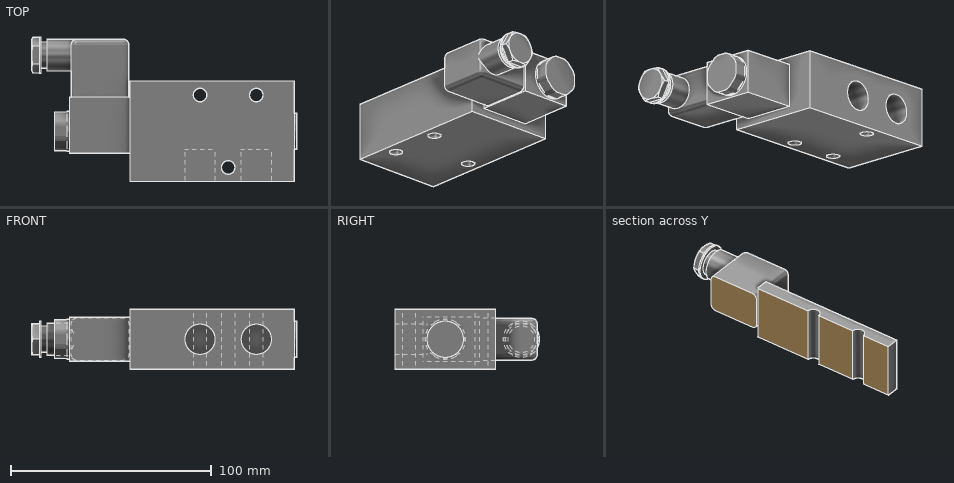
import cadquery as cq
import math


block_length = 81.8
block_width = 50.0
block_height = 30.0
block_mid_y = block_width / 2

station_x = 35.0
station_pitch = 28.0
mount_diameter = 6.6
mount_inset = 7.0
port_diameter = 15.0
port_depth = 15.8

plug_diameter = 18.1
plug_length = 1.3

coil_length = 30.1
coil_width = 28.0
coil_height = 22.0
coil_start_y = 14.0
coil_end_y = coil_start_y + coil_width

cap_diameter = 20.0
cap_length = 7.4
cap_flat_count = 8
cap_across_flats = 19.4
cap_flat_length = 6.2

overall_length = 132.0
overall_width = 72.0
washer_diameter = 18.1
washer_length = 0.9
gland_y = overall_width - washer_diameter / 2
gland_diameter = 16.0
neck_diameter = 13.2
neck_length = 2.9
nut_across_flats = 15.6
nut_length = 3.8
nut_chamfer_length = 0.7
gland_end_x = block_length + plug_length - overall_length

housing_length = 28.8
housing_height = 21.0
housing_gap = 0.4
housing_round = 3.0
housing_end_y = gland_y + gland_diameter / 2


def disc(start_x, length, axis_y, diameter):
    """Cylinder along +X, starting at start_x, with its axis at mid-height."""
    return cq.Workplane("YZ", origin=(start_x, axis_y, 0)).circle(diameter / 2).extrude(length)


def make_block():
    block = cq.Workplane("XY").box(block_length, block_width, block_height, centered=(False, False, True))
    stations = [station_x, station_x + station_pitch]

    mount_points = [(x, block_width - mount_inset) for x in stations]
    mount_points.append((station_x + station_pitch / 2, mount_inset))
    mounts = (
        cq.Workplane("XY", origin=(0, 0, -block_height / 2))
        .pushPoints(mount_points)
        .circle(mount_diameter / 2)
        .extrude(block_height)
    )

    ports = (
        cq.Workplane("XZ")
        .pushPoints([(x, 0) for x in stations])
        .circle(port_diameter / 2)
        .extrude(-port_depth)
    )
    return block.cut(mounts).cut(ports)


def make_coil():
    return cq.Workplane("XY", origin=(-coil_length, coil_start_y, 0)).box(
        coil_length, coil_width, coil_height, centered=(False, False, True)
    )


def make_cap():
    cap_end_x = -coil_length - cap_length
    cap = disc(cap_end_x, cap_length, block_mid_y, cap_diameter)
    corner_diameter = cap_across_flats / math.cos(math.pi / cap_flat_count)
    half_step = 180 / cap_flat_count
    octagon = (
        cq.Workplane("YZ", origin=(cap_end_x, block_mid_y, 0))
        .transformed(rotate=(0, 0, half_step))
        .polygon(cap_flat_count, corner_diameter)
        .extrude(cap_flat_length)
    )
    rim = disc(cap_end_x, cap_flat_length, block_mid_y, cap_diameter)
    return cap.cut(rim.cut(octagon))


def make_housing():
    """Connector housing, rounded everywhere except where it sits on the coil box."""
    return (
        cq.Workplane("XY", origin=(-housing_gap - housing_length, coil_end_y, 0))
        .box(housing_length, housing_end_y - coil_end_y, housing_height, centered=(False, False, True))
        .edges("|Y or >Y")
        .fillet(housing_round)
    )


def make_nut():
    """Hexagonal nut with corners towards +Y and -Y, chamfered at its outer end."""
    corner_diameter = nut_across_flats / math.cos(math.pi / 6)
    hexagon = (
        cq.Workplane("YZ", origin=(gland_end_x, gland_y, 0))
        .polygon(6, corner_diameter)
        .extrude(nut_length)
    )
    bevel = (corner_diameter - nut_across_flats) / 2
    blank = (
        disc(gland_end_x, nut_length, gland_y, corner_diameter)
        .faces("<X")
        .chamfer(nut_chamfer_length, bevel)
    )
    return hexagon.intersect(blank)


def make_gland():
    washer_x = gland_end_x + nut_length
    neck_x = washer_x + washer_length
    body_x = neck_x + neck_length
    body_end_x = -housing_gap - housing_length / 2
    washer = disc(washer_x, washer_length, gland_y, washer_diameter)
    neck = disc(neck_x, neck_length, gland_y, neck_diameter)
    body = disc(body_x, body_end_x - body_x, gland_y, gland_diameter)
    return make_nut().union(washer).union(neck).union(body)


plug = disc(block_length, plug_length, block_mid_y, plug_diameter)

result = (
    make_block()
    .union(plug)
    .union(make_coil())
    .union(make_cap())
    .union(make_housing())
    .union(make_gland())
)